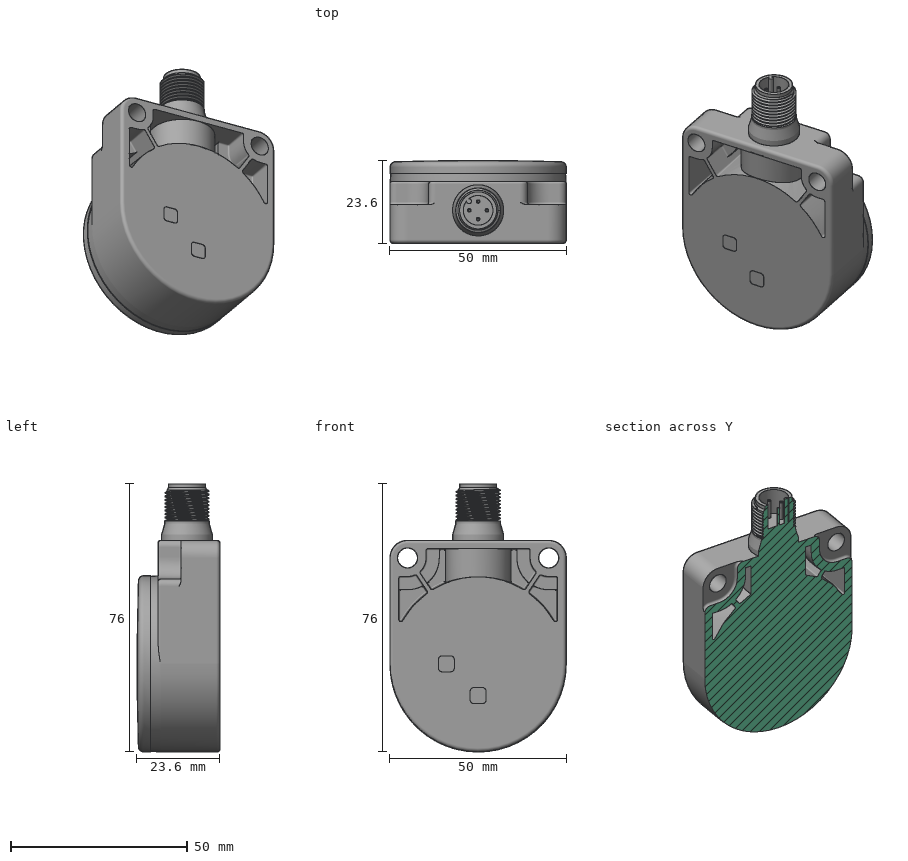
import cadquery as cq
import math


HOUSING_RADIUS = 25.0
PLATE_TOP = 35.0
PLATE_DEPTH = 17.6
CORNER_RADIUS = 5.0
FRONT_EDGE_FILLET = 1.0
BACK_EDGE_FILLET = 0.75

NECK_RADIUS = 24.8
COVER_START = 19.8
COVER_RIM_END = 23.2
COVER_CROWN = 23.6
COVER_EDGE_FILLET = 1.6

HOLE_X = HOUSING_RADIUS - CORNER_RADIUS
HOLE_Z = PLATE_TOP - CORNER_RADIUS
HOLE_DIAMETER = 5.6

SEAT_Y = 11.05
SEAT_RADIUS = 6.0
SEAT_FLARE_RADIUS = 2.0
SEAT_FLOOR_FILLET = 0.6

WALL = 3.0
POCKET_HALF_WIDTH = 22.5
POCKET_TOP = 32.65
POCKET_DEPTH = PLATE_DEPTH - WALL
POCKET_SHALLOW_DEPTH = SEAT_Y - WALL
POCKET_INNER_RADIUS = 24.65
POCKET_CORNER_FILLET = 0.6
POCKET_FLOOR_FILLET = 0.3
POCKET_SHALLOW_FILLET = 0.4
POCKET_DRAFT = 1.2
HOLE_BOSS_RADIUS = 5.25
STEP_RADIUS = SEAT_RADIUS + WALL
RIB_WIDTH = 1.15

WINDOW_SIZE = 4.5
WINDOW_CORNER_RADIUS = 1.0
WINDOW_OFFSET = 9.0
WINDOW_DEPTH = 0.1

CONNECTOR_Y = 9.4
BARREL_RADIUS = 9.3
CONNECTOR_TOP = 51.0
COLLAR_RADIUS = 7.25
COLLAR_TOP = 36.6
SHOULDER_RADIUS = 6.35
SHOULDER_BOTTOM = 39.7
SHOULDER_TOP = 40.5
THREAD_ROOT_RADIUS = 5.7
THREAD_CREST_RADIUS = 6.3
THREAD_PITCH = 1.0
THREAD_TOP = 49.2
LEAD_IN_TOP = 49.9
TIP_RADIUS = 5.25
SOCKET_RADIUS = 4.2
SOCKET_DEPTH = 8.0
PIN_RADIUS = 0.5
PIN_CIRCLE_RADIUS = 2.5
PIN_LENGTH = 5.8
PIN_CHAMFER = 0.2
PIN_COUNT = 4
KEY_RADIUS = 0.7
KEY_CENTRE_RADIUS = 3.65
KEY_ANGLE = 135.0

OVERLAP = 1.0


def front_plane(y=0.0):
    """Sketch plane parallel to the mounting face; negative extrusions run toward +Y."""
    return cq.Workplane("XZ", origin=(0, y, 0))


def disc(radius, y_start, y_end):
    return front_plane(y_start).circle(radius).extrude(y_start - y_end)


def corner_block(side, radius, y_start, y_end):
    """Upper corner region bounded by an arc about the mounting hole."""
    inner_x = side * (HOLE_X - radius)
    outer_x = side * (HOUSING_RADIUS + OVERLAP)
    bottom = HOLE_Z - radius
    top = PLATE_TOP + OVERLAP
    bend = radius * math.sqrt(0.5)
    return (
        front_plane(y_start)
        .moveTo(inner_x, top)
        .lineTo(inner_x, HOLE_Z)
        .threePointArc((side * (HOLE_X - bend), HOLE_Z - bend), (side * HOLE_X, bottom))
        .lineTo(outer_x, bottom)
        .lineTo(outer_x, top)
        .close()
        .extrude(y_start - y_end)
    )


def make_seat_relief(side):
    """Cutter for one screw seat, flaring outward where it leaves the plate."""
    inner_x = HOLE_X - SEAT_RADIUS
    bottom = HOLE_Z - SEAT_RADIUS
    flare = SEAT_FLARE_RADIUS
    flare_bend = flare * (1 - math.sqrt(0.5))
    bend = SEAT_RADIUS * math.sqrt(0.5)
    top = PLATE_TOP
    edge = HOUSING_RADIUS

    def at(x, z):
        return (side * x, z)

    return (
        front_plane(SEAT_Y)
        .moveTo(*at(inner_x - flare - OVERLAP, top + 2 * OVERLAP))
        .lineTo(*at(inner_x - flare - OVERLAP, top))
        .lineTo(*at(inner_x - flare, top))
        .threePointArc(at(inner_x - flare_bend, top - flare_bend), at(inner_x, top - flare))
        .lineTo(*at(inner_x, HOLE_Z))
        .threePointArc(at(HOLE_X - bend, HOLE_Z - bend), at(HOLE_X, bottom))
        .lineTo(*at(edge - flare, bottom))
        .threePointArc(at(edge - flare_bend, bottom - flare_bend), at(edge, bottom - flare))
        .lineTo(*at(edge, bottom - flare - OVERLAP))
        .lineTo(*at(edge + 2 * OVERLAP, bottom - flare - OVERLAP))
        .lineTo(*at(edge + 2 * OVERLAP, top + 2 * OVERLAP))
        .close()
        .extrude(SEAT_Y - PLATE_DEPTH - OVERLAP)
        .faces("<Y")
        .edges()
        .fillet(SEAT_FLOOR_FILLET)
    )


def make_plate():
    """D-shaped plate with rounded upper corners and relieved back corners."""
    plate = (
        front_plane()
        .moveTo(-HOUSING_RADIUS, 0)
        .lineTo(-HOUSING_RADIUS, PLATE_TOP)
        .lineTo(HOUSING_RADIUS, PLATE_TOP)
        .lineTo(HOUSING_RADIUS, 0)
        .threePointArc((0, -HOUSING_RADIUS), (-HOUSING_RADIUS, 0))
        .close()
        .extrude(-PLATE_DEPTH)
        .edges("|Y and >Z")
        .fillet(CORNER_RADIUS)
        .faces("<Y")
        .edges()
        .fillet(FRONT_EDGE_FILLET)
    )
    for side in (-1, 1):
        plate = plate.cut(make_seat_relief(side))
    return plate.faces(">Y").edges().fillet(BACK_EDGE_FILLET)


def make_cover():
    """Slightly domed round cover on a narrower neck."""
    middle = disc(HOUSING_RADIUS, 2 * FRONT_EDGE_FILLET, PLATE_DEPTH - OVERLAP)
    neck_bottom = PLATE_DEPTH - BACK_EDGE_FILLET
    neck = (
        front_plane(neck_bottom)
        .circle(HOUSING_RADIUS)
        .workplane(offset=neck_bottom - COVER_START)
        .circle(NECK_RADIUS)
        .loft()
    )
    rim = disc(HOUSING_RADIUS, COVER_START, COVER_RIM_END).faces(">Y").edges().fillet(COVER_EDGE_FILLET)
    dome_radius = HOUSING_RADIUS - COVER_EDGE_FILLET
    dome_rise = COVER_CROWN - COVER_RIM_END
    ball_radius = (dome_radius**2 + dome_rise**2) / (2 * dome_rise)
    ball = cq.Workplane("XY").sphere(ball_radius).translate((0, COVER_CROWN - ball_radius, 0))
    dome = disc(dome_radius, COVER_RIM_END - OVERLAP, COVER_CROWN + OVERLAP).intersect(ball)
    return middle.union(neck).union(rim).union(dome)


def make_rib(side):
    """Thin wall along the line from the mounting hole to the housing axis."""
    length = math.hypot(HOLE_X, HOLE_Z)
    tilt = side * math.degrees(math.atan2(HOLE_X, HOLE_Z))
    return (
        cq.Workplane("XY")
        .box(RIB_WIDTH, PLATE_DEPTH, length, centered=(True, False, False))
        .rotate((0, 0, 0), (0, 1, 0), tilt)
    )


def make_pocket_outline():
    """Rim wires of the pockets: everything above the round housing except hole bosses and ribs."""
    pockets = cq.Workplane("XY").box(
        2 * POCKET_HALF_WIDTH, POCKET_DEPTH, POCKET_TOP, centered=(True, False, False)
    )
    pockets = pockets.cut(disc(POCKET_INNER_RADIUS, 0, POCKET_DEPTH))
    for side in (-1, 1):
        pockets = pockets.cut(corner_block(side, HOLE_BOSS_RADIUS, 0, POCKET_DEPTH))
        pockets = pockets.cut(make_rib(side))
    return pockets.edges("|Y").fillet(POCKET_CORNER_FILLET).faces("<Y").wires()


def make_barrel():
    """Half-round connector barrel bridging the central pocket."""
    barrel = cq.Workplane("XY", origin=(0, CONNECTOR_Y, 0)).circle(BARREL_RADIUS).extrude(POCKET_TOP)
    base = cq.Workplane("XY", origin=(0, CONNECTOR_Y, 0)).box(
        2 * BARREL_RADIUS, PLATE_DEPTH - CONNECTOR_Y, POCKET_TOP, centered=(True, False, False)
    )
    return barrel.union(base)


def drafted_pockets(outline, depth):
    return front_plane().newObject(outline).toPending().extrude(-depth, taper=POCKET_DRAFT)


def cut_pockets(body):
    """Cut the drafted pockets, shallower behind the screw seats and open around the barrel."""
    outline = make_pocket_outline().vals()
    shallow = drafted_pockets(outline, POCKET_SHALLOW_DEPTH)
    shallow = shallow.faces(">Y").edges().fillet(POCKET_SHALLOW_FILLET)
    deep = drafted_pockets(outline, POCKET_DEPTH)
    for side in (-1, 1):
        deep = deep.cut(corner_block(side, STEP_RADIUS, -OVERLAP, POCKET_DEPTH + OVERLAP))
    barrel = make_barrel()
    deep = deep.cut(barrel).faces(">Y").edges().fillet(POCKET_FLOOR_FILLET)
    return body.cut(shallow.cut(barrel)).cut(deep)


def cut_holes(body):
    for side in (-1, 1):
        hole = front_plane().center(side * HOLE_X, HOLE_Z).circle(HOLE_DIAMETER / 2).extrude(-PLATE_DEPTH)
        body = body.cut(hole)
    return body


def cut_windows(body):
    for x, z in ((-WINDOW_OFFSET, 0), (0, -WINDOW_OFFSET)):
        window = (
            front_plane()
            .center(x, z)
            .rect(WINDOW_SIZE, WINDOW_SIZE)
            .extrude(-WINDOW_DEPTH)
            .edges("|Y")
            .fillet(WINDOW_CORNER_RADIUS)
        )
        body = body.cut(window)
    return body


def make_thread():
    """Helical V ridge, buried slightly in the threaded core."""
    start = SHOULDER_TOP - 0.3
    root = THREAD_ROOT_RADIUS - 0.1
    half = 0.42 * THREAD_PITCH
    path = cq.Wire.makeHelix(THREAD_PITCH, THREAD_TOP - start, root).translate(cq.Vector(0, 0, start))
    return (
        cq.Workplane("XZ", origin=(0, 0, start))
        .polyline([(root, -half), (THREAD_CREST_RADIUS, -0.05), (THREAD_CREST_RADIUS, 0.05), (root, half)])
        .close()
        .sweep(cq.Workplane(path), isFrenet=True)
    )


def make_connector():
    """Threaded plug with a socket, contact pins and a coding key."""
    shell = (
        cq.Workplane("XZ")
        .moveTo(0, PLATE_TOP - OVERLAP)
        .lineTo(COLLAR_RADIUS, PLATE_TOP - OVERLAP)
        .lineTo(COLLAR_RADIUS, COLLAR_TOP)
        .lineTo(SHOULDER_RADIUS, SHOULDER_BOTTOM)
        .lineTo(SHOULDER_RADIUS, SHOULDER_TOP)
        .lineTo(THREAD_ROOT_RADIUS, SHOULDER_TOP)
        .lineTo(THREAD_ROOT_RADIUS, THREAD_TOP)
        .lineTo(TIP_RADIUS, LEAD_IN_TOP)
        .lineTo(TIP_RADIUS, CONNECTOR_TOP)
        .lineTo(0, CONNECTOR_TOP)
        .close()
        .revolve(360, (0, 0, 0), (0, 1, 0))
    )
    shell = shell.union(make_thread())
    floor = CONNECTOR_TOP - SOCKET_DEPTH
    shell = shell.cut(cq.Workplane("XY", origin=(0, 0, floor)).circle(SOCKET_RADIUS).extrude(SOCKET_DEPTH))
    pins = (
        cq.Workplane("XY", origin=(0, 0, floor - OVERLAP))
        .polarArray(PIN_CIRCLE_RADIUS, 0, 360, PIN_COUNT)
        .circle(PIN_RADIUS)
        .extrude(PIN_LENGTH + OVERLAP)
        .faces(">Z")
        .chamfer(PIN_CHAMFER)
    )
    key = (
        cq.Workplane("XY", origin=(0, 0, floor - OVERLAP))
        .center(KEY_CENTRE_RADIUS, 0)
        .circle(KEY_RADIUS)
        .extrude(SOCKET_DEPTH + OVERLAP)
        .rotate((0, 0, 0), (0, 0, 1), KEY_ANGLE)
    )
    return shell.union(pins).union(key).translate((0, CONNECTOR_Y, 0))


body = make_plate().union(make_cover())
body = cut_pockets(body)
body = cut_holes(body)
body = cut_windows(body)
result = body.union(make_connector())